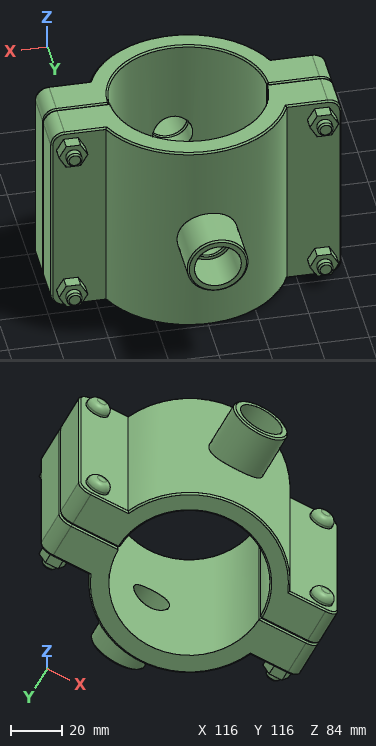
import cadquery as cq
import math

WIDTH = 116.0
SPAN = 116.0
HEIGHT = 84.0

SHELL_DIAMETER = 78.9
BORE_DIAMETER = 63.0
FLANGE_THICKNESS = 15.8
FLANGE_CORNER_RADIUS = 5.5
EDGE_CHAMFER = 0.7

PIPE_DIAMETER = 24.2
PIPE_CHAMFER = 0.7
PASSAGE_DIAMETER = 16.0
SOCKET_DIAMETER = 18.7
SOCKET_DEPTH = 17.4

BOLT_X = 50.1
BOLT_Z = 34.0
HEAD_DIAMETER = 10.0
HEAD_HEIGHT = 4.0
HEAD_FILLET = 3.0
NUT_FLATS = 10.0
NUT_THICKNESS = 5.0
SHANK_DIAMETER = 6.0
SHANK_TIP_LENGTH = 3.0
SHANK_CHAMFER = 0.7

HALF_HEIGHT = HEIGHT / 2
PIPE_END = SPAN / 2
SHELL_RADIUS = SHELL_DIAMETER / 2
BORE_RADIUS = BORE_DIAMETER / 2
NUT_CORNERS = NUT_FLATS / math.cos(math.radians(30))
BOLT_POINTS = [(x, z) for x in (-BOLT_X, BOLT_X) for z in (-BOLT_Z, BOLT_Z)]

TOLERANCE = 0.01


def facing_back(y):
    """Workplane at height y that faces +Y, with local y along Z."""
    return cq.Workplane("XZ", origin=(0, y, 0)).transformed(rotate=(0, 180, 0))


def turned_to_front(body):
    """The body turned half a revolution about Z, from the +Y side to the -Y side."""
    return body.rotate((0, 0, 0), (0, 0, 1), 180)


def upright_cylinder(radius):
    return cq.Workplane("XY").circle(radius).extrude(HALF_HEIGHT, both=True)


def sharp_half():
    """Half shell with two flanges, on the +Y side of the parting plane, before chamfering."""
    flanges = (
        facing_back(0)
        .rect(WIDTH, HEIGHT)
        .extrude(FLANGE_THICKNESS)
        .edges("|Y")
        .fillet(FLANGE_CORNER_RADIUS)
    )
    back_side = cq.Workplane("XY").box(WIDTH, SHELL_RADIUS, HEIGHT).translate((0, SHELL_RADIUS / 2, 0))
    half_shell = upright_cylinder(SHELL_RADIUS).intersect(back_side)
    return flanges.union(half_shell).cut(upright_cylinder(BORE_RADIUS))


def is_chamfered(edge, bore_rim):
    """True for edges of the parting face, outlines of the flange faces and rims of the shell."""
    center = edge.Center()
    on_parting = abs(center.y) < TOLERANCE
    on_flange_face = abs(center.y - FLANGE_THICKNESS) < TOLERANCE
    on_end = abs(abs(center.z) - HALF_HEIGHT) < TOLERANCE
    shell_corner = on_flange_face and not on_end and abs(center.x) < SHELL_RADIUS
    rim = on_end and edge.geomType() == "CIRCLE"
    if rim and abs(edge.radius() - BORE_RADIUS) < TOLERANCE:
        return bore_rim
    return on_parting or rim or (on_flange_face and not shell_corner)


def clamp_half(bore_rim):
    """Chamfered half of the clamp; bore_rim tells whether the rims of its bore are chamfered too."""
    half = sharp_half()
    edges = [edge for edge in half.edges().vals() if is_chamfered(edge, bore_rim)]
    passage = facing_back(0).circle(PASSAGE_DIAMETER / 2).extrude(PIPE_END)
    return half.newObject(edges).chamfer(EDGE_CHAMFER).cut(passage)


def bolt_heads():
    """Domed heads with a small flat top."""
    return (
        facing_back(FLANGE_THICKNESS)
        .pushPoints(BOLT_POINTS)
        .circle(HEAD_DIAMETER / 2)
        .extrude(HEAD_HEIGHT)
        .faces(">Y")
        .edges()
        .fillet(HEAD_FILLET)
    )


def nuts():
    """Hexagon nuts, each with the chamfered tip of its bolt."""
    base = facing_back(FLANGE_THICKNESS).pushPoints(BOLT_POINTS)
    hexagons = base.polygon(6, NUT_CORNERS).extrude(NUT_THICKNESS)
    tips = (
        base.circle(SHANK_DIAMETER / 2)
        .extrude(NUT_THICKNESS + SHANK_TIP_LENGTH)
        .faces(">Y")
        .chamfer(SHANK_CHAMFER)
    )
    return hexagons.union(tips)


def make_clamp():
    """Both halves joined at the grooved parting plane, with bolt heads in front and nuts behind."""
    back = clamp_half(bore_rim=False).union(nuts())
    front = clamp_half(bore_rim=True).union(bolt_heads())
    return back.union(turned_to_front(front))


def make_branch_pipe():
    """Pipe on the +Y side, its inner end shaped to sit on the shell."""
    pipe = facing_back(0).circle(PIPE_DIAMETER / 2).extrude(PIPE_END).faces(">Y").chamfer(PIPE_CHAMFER)
    passage = facing_back(0).circle(PASSAGE_DIAMETER / 2).extrude(PIPE_END)
    socket = facing_back(PIPE_END - SOCKET_DEPTH).circle(SOCKET_DIAMETER / 2).extrude(SOCKET_DEPTH)
    return pipe.cut(upright_cylinder(SHELL_RADIUS)).cut(passage).cut(socket)


clamp = make_clamp()
back_pipe = make_branch_pipe()
front_pipe = turned_to_front(make_branch_pipe())

result = cq.Compound.makeCompound([clamp.val(), back_pipe.val(), front_pipe.val()])